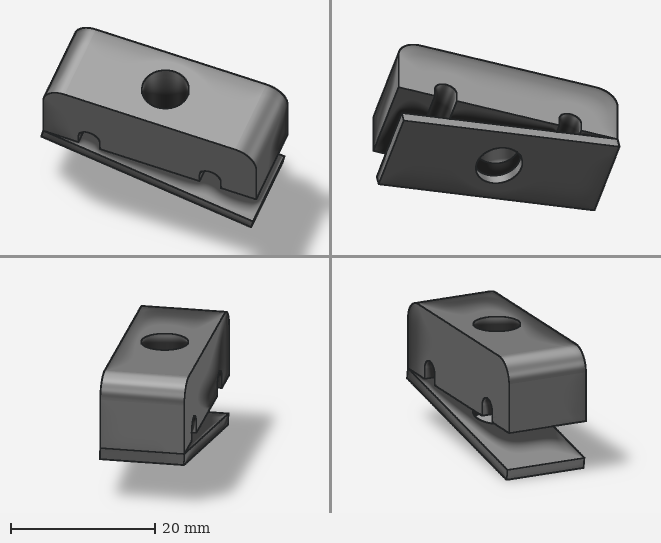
import cadquery as cq

length = 31.75
width = 11.887
hole_diameter = 6.53

block_height = 10.3124
corner_radius = 3.175
slot_width = 3.175
slot_spacing = 18.03
slot_depth = 3.048

plate_thickness = 1.575
plate_tilt = 10.0


def make_slot_cutter(center_x):
    """Round-topped slot running across the full width, open at the underside."""
    radius = slot_width / 2
    straight_depth = slot_depth - radius
    return (
        cq.Workplane("XZ")
        .moveTo(center_x - radius, 0)
        .lineTo(center_x - radius, straight_depth)
        .threePointArc((center_x, slot_depth), (center_x + radius, straight_depth))
        .lineTo(center_x + radius, 0)
        .close()
        .extrude(width / 2, both=True)
    )


def make_block():
    """Block standing on Z = 0, centred in X and Y, with a vertical through hole."""
    block = (
        cq.Workplane("XY")
        .box(length, width, block_height, centered=(True, True, False))
        .edges("|Y and >Z")
        .fillet(corner_radius)
        .faces(">Z")
        .workplane(origin=(0, 0, block_height))
        .hole(hole_diameter)
    )
    for side in (-1, 1):
        block = block.cut(make_slot_cutter(side * slot_spacing / 2))
    return block


def make_plate():
    """Flat plate with a central hole, swung down about the block's lower -X edge."""
    plate = (
        cq.Workplane("XY")
        .box(length, width, plate_thickness)
        .faces(">Z")
        .workplane()
        .hole(hole_diameter)
        .translate((0, 0, -plate_thickness / 2))
    )
    hinge_x = -length / 2
    return plate.rotate((hinge_x, 0, 0), (hinge_x, 1, 0), plate_tilt)


block = make_block()
plate = make_plate()

result = cq.Compound.makeCompound([block.solids().val(), plate.solids().val()])